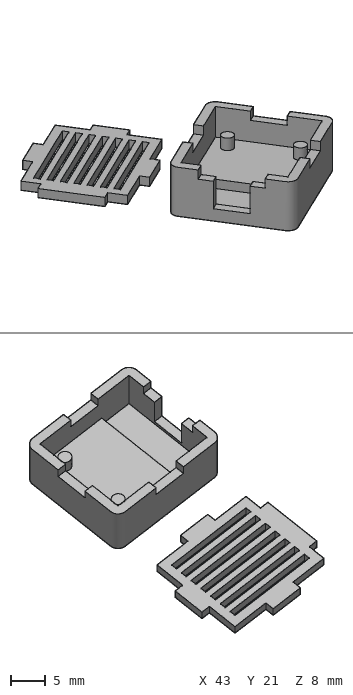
import cadquery as cq

total_length = 43.0
box_length = 19.0
box_width = 21.0
box_height = 8.0
wall = 1.5
corner_radius = 1.5
tab_width = 5.5
front_tab_width = 10.0

raised_floor = 3.0
front_floor = 1.5
port_floor = 2.0
front_floor_width = 5.5
port_width = 5.5
pin_diameter = 2.0
pin_height = 2.0
pin_inset = 2.55

slot_count = 7
slot_width = 1.0
slot_length = 15.0
slotted_span = 13.0

inner_length = box_length - 2 * wall
inner_width = box_width - 2 * wall
box_x = (total_length - box_length) / 2
slot_pitch = (slotted_span - slot_width) / (slot_count - 1)
lid_x = -box_x


def block(length, width, height, x, y, z):
    """Block centred on x and y, with its underside at z."""
    return cq.Workplane("XY").box(length, width, height, centered=(True, True, False)).translate((x, y, z))


def lid_tabs(x, z):
    """The four edge tabs of a lid centred on x, one on each side."""
    edge_x = (box_length - wall) / 2
    edge_y = (box_width - wall) / 2
    tabs = block(front_tab_width, wall, wall, x, -edge_y, z)
    tabs = tabs.add(block(tab_width, wall, wall, x, edge_y, z))
    for side in (-1, 1):
        tabs = tabs.add(block(wall, tab_width, wall, x + side * edge_x, 0, z))
    return tabs.vals()


def make_box():
    """Open box with a stepped floor, locating pins, a front port and rim notches for the lid tabs."""
    box = block(box_length, box_width, box_height, box_x, 0, 0).edges("|Z").fillet(corner_radius)

    box = box.cut(block(inner_length, inner_width, box_height, box_x, 0, raised_floor))
    front_floor_y = (front_floor_width - inner_width) / 2
    box = box.cut(block(inner_length, front_floor_width, box_height, box_x, front_floor_y, front_floor))

    port_y = (wall - box_width) / 2
    box = box.cut(block(port_width, wall, box_height, box_x, port_y, port_floor))

    for notch in lid_tabs(box_x, box_height - wall):
        box = box.cut(cq.Workplane(notch))

    pin_x = inner_length / 2 - pin_inset
    pin_y = inner_width / 2 - pin_inset
    for side in (-1, 1):
        pin = cq.Workplane("XY").circle(pin_diameter / 2).extrude(pin_height)
        box = box.union(pin.translate((box_x + side * pin_x, pin_y, raised_floor)))
    return box


def make_lid():
    """Flat slotted lid with a tab on each edge."""
    lid = block(inner_length, inner_width, wall, lid_x, 0, 0)
    for tab in lid_tabs(lid_x, 0):
        lid = lid.union(cq.Workplane(tab))

    for index in range(slot_count):
        slot_x = lid_x + (index - (slot_count - 1) / 2) * slot_pitch
        lid = lid.cut(block(slot_width, slot_length, wall, slot_x, 0, 0))
    return lid


box = make_box()
lid = make_lid()

result = cq.Compound.makeCompound([box.val(), lid.val()])